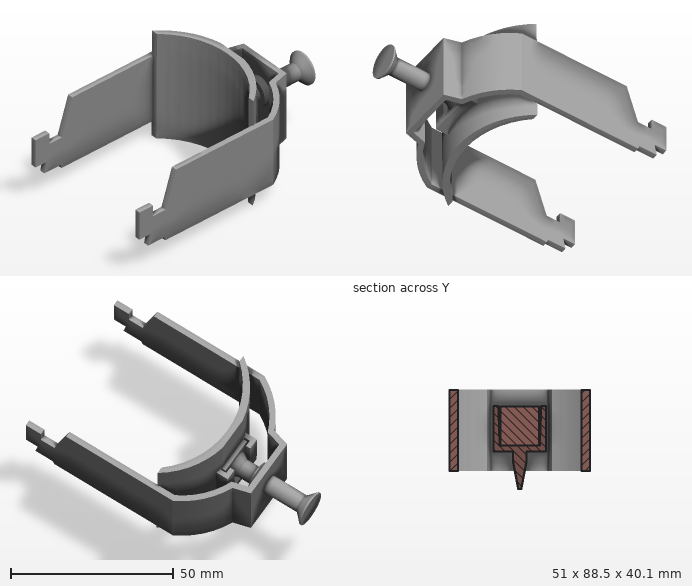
import cadquery as cq
import math


strap_half_width = 25.5
strap_wall = 1.95
crown_half_width = 10.1
shoulder_half_width = 11.7
shoulder_y = -5.75
bow_radius = 28.85
leg_start_y = -18.7
leg_end_y = -73.0
strap_top_z = 11.1
strap_bottom_z = -14.0

boss_radius = 5.05
boss_height = 2.6

shank_radius = 3.0
head_radius = 5.75
head_end_y = 15.5
head_rim = 0.5
head_cone = head_radius - shank_radius
shank_end_y = -9.6

foot_cone_top_radius = 2.8
foot_cone_base_radius = 4.4
foot_cone_length = 2.6
foot_width = 11.95
foot_thickness = 1.3
foot_plate_y = shank_end_y - foot_cone_length
foot_back_y = foot_plate_y - foot_thickness

saddle_height = 40.0
saddle_mid_z = 0.4
saddle_outer_radius = 29.2
saddle_inner_radius = 28.7
saddle_outer_apex_y = -13.0
saddle_inner_apex_y = -15.6
saddle_tip_y = -25.5
saddle_tilt = 0.4

foot_clearance = 0.1
holder_half_width = 8.1
holder_front_y = -9.9
holder_top_z = 6.2
holder_floor = 1.95
pocket_front_y = -11.5
pocket_half_width = 6.55
slot_half_width = 4.4
pocket_draft = 2.0
pocket_back_y = foot_back_y - foot_clearance
pocket_bottom_z = -foot_width / 2 - foot_clearance
holder_bottom_z = pocket_bottom_z - holder_floor


def disc(radius, start_y, end_y):
    """Cylinder on the screw axis between two Y positions."""
    return cq.Workplane("XZ", origin=(0, start_y, 0)).circle(radius).extrude(start_y - end_y)


def block(half_width, back_y, front_y, bottom_z, top_z):
    """Box centred on X = 0."""
    size = (2 * half_width, front_y - back_y, top_z - bottom_z)
    return cq.Workplane("XY", origin=(-half_width, back_y, bottom_z)).box(*size, centered=False)


def bow_midpoint():
    """Middle of the bow arc that joins the shoulder to the leg on the +X side."""
    dx = strap_half_width - shoulder_half_width
    dy = leg_start_y - shoulder_y
    chord = math.hypot(dx, dy)
    bulge = bow_radius - math.sqrt(bow_radius**2 - (chord / 2) ** 2)
    mid_x = (shoulder_half_width + strap_half_width) / 2 - bulge * dy / chord
    mid_y = (shoulder_y + leg_start_y) / 2 + bulge * dx / chord
    return mid_x, mid_y


def bent_strip():
    """Strap of constant wall thickness, closed by a web just beyond the leg ends."""
    mid_x, mid_y = bow_midpoint()
    web_y = leg_end_y - strap_wall
    outline = (
        cq.Workplane("XY", origin=(0, 0, strap_bottom_z))
        .moveTo(-crown_half_width, 0)
        .lineTo(crown_half_width, 0)
        .lineTo(shoulder_half_width, shoulder_y)
        .threePointArc((mid_x, mid_y), (strap_half_width, leg_start_y))
        .lineTo(strap_half_width, web_y)
        .lineTo(-strap_half_width, web_y)
        .lineTo(-strap_half_width, leg_start_y)
        .threePointArc((-mid_x, mid_y), (-shoulder_half_width, shoulder_y))
        .close()
    )
    height = strap_top_z - strap_bottom_z
    outer = outline.extrude(height)
    inner = (
        outer.faces("<Z")
        .wires()
        .toPending()
        .offset2D(-strap_wall, "intersection")
        .extrude(height, combine=False)
    )
    return outer.cut(inner)


def strap_side_profile():
    """Side shape of the strap, with the hooked leg ends, as a block across the full width."""
    points = [
        (0, strap_top_z),
        (-58.15, strap_top_z),
        (-62.4, -2.3),
        (-67.4, -2.3),
        (-67.4, 1.8),
        (leg_end_y, 1.8),
        (leg_end_y, -8.7),
        (-68.6, -8.7),
        (-69.5, -12.65),
        (-62.9, -12.65),
        (-62.5, strap_bottom_z),
        (0, strap_bottom_z),
    ]
    return cq.Workplane("YZ").polyline(points).close().extrude(strap_half_width, both=True)


def make_strap(saddle):
    """Strap with the threaded boss; the saddle tips sit in shallow recesses in the legs."""
    boss = disc(boss_radius, -strap_wall, -strap_wall - boss_height)
    screw_hole = disc(shank_radius, 0, -strap_wall - boss_height)
    strap = bent_strip().intersect(strap_side_profile())
    return strap.union(boss).cut(screw_hole).cut(saddle)


def make_screw():
    """Countersunk screw turned about the Y axis."""
    rim_y = head_end_y - head_rim
    return (
        cq.Workplane("XY")
        .moveTo(0, head_end_y)
        .lineTo(head_radius, head_end_y)
        .lineTo(head_radius, rim_y)
        .lineTo(shank_radius, rim_y - head_cone)
        .lineTo(shank_radius, shank_end_y)
        .lineTo(0, shank_end_y)
        .close()
        .revolve(360, (0, 0, 0), (0, 1, 0))
    )


def make_foot():
    """Square plate with a cone that meets the end of the screw."""
    cone = (
        cq.Workplane("XY")
        .moveTo(0, shank_end_y)
        .lineTo(foot_cone_top_radius, shank_end_y)
        .lineTo(foot_cone_base_radius, foot_plate_y)
        .lineTo(0, foot_plate_y)
        .close()
        .revolve(360, (0, 0, 0), (0, 1, 0))
    )
    half = foot_width / 2
    return block(half, foot_back_y, foot_plate_y, -half, half).union(cone)


def drafted_cut(half_width_at_top, back_y, front_y):
    """Cutter open at the top, with a flat floor and drafted side walls."""
    slope = math.tan(math.radians(pocket_draft))
    top_z = saddle_mid_z + saddle_height / 2
    floor_half = half_width_at_top - slope * (holder_top_z - pocket_bottom_z)
    top_half = half_width_at_top + slope * (top_z - holder_top_z)
    return (
        cq.Workplane("XZ", origin=(0, front_y, 0))
        .moveTo(-floor_half, pocket_bottom_z)
        .lineTo(floor_half, pocket_bottom_z)
        .lineTo(top_half, top_z)
        .lineTo(-top_half, top_z)
        .close()
        .extrude(front_y - back_y)
    )


def saddle_cylinder(radius, apex_y):
    """Upright cylinder as tall as the saddle, reaching apex_y on the crown side."""
    bottom_z = saddle_mid_z - saddle_height / 2
    return cq.Workplane("XY", origin=(0, apex_y - radius, bottom_z)).circle(radius).extrude(saddle_height)


def make_saddle():
    """Curved saddle with the foot holder on its back, tilted slightly about X."""
    outer = saddle_cylinder(saddle_outer_radius, saddle_outer_apex_y)
    bore = saddle_cylinder(saddle_inner_radius, saddle_inner_apex_y)
    holder = block(holder_half_width, saddle_inner_apex_y, holder_front_y, holder_bottom_z, holder_top_z)
    bottom_z = saddle_mid_z - saddle_height / 2
    kept = block(strap_half_width, saddle_tip_y, 0, bottom_z, bottom_z + saddle_height)
    saddle = (
        outer.union(holder)
        .cut(bore)
        .intersect(kept)
        .cut(drafted_cut(pocket_half_width, pocket_back_y, pocket_front_y))
        .cut(drafted_cut(slot_half_width, pocket_front_y, holder_front_y))
    )
    return saddle.rotate((0, pocket_back_y, 0), (1, pocket_back_y, 0), -saddle_tilt)


saddle = make_saddle()
strap = make_strap(saddle)
screw = make_screw()
foot = make_foot()

result = cq.Compound.makeCompound([strap.val(), saddle.val(), screw.val(), foot.val()])